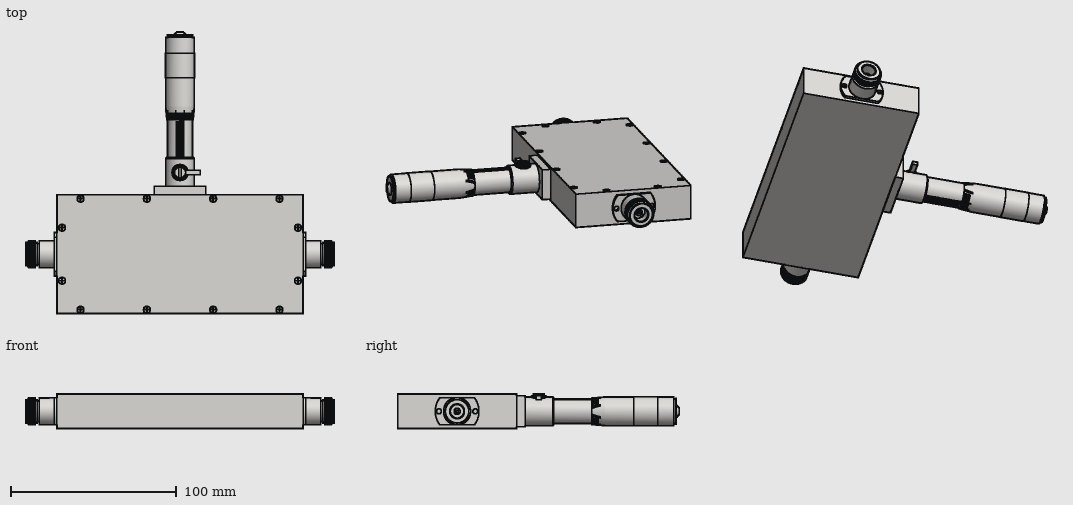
import cadquery as cq
import math


BOX_LENGTH = 148.6
BOX_WIDTH = 71.8
BOX_HEIGHT = 21.0
HALF_LENGTH = BOX_LENGTH / 2
HALF_HEIGHT = BOX_HEIGHT / 2
MID_Y = BOX_WIDTH / 2

SCREW_RADIUS = 2.0
SCREW_SINK = 0.1
CROSS_LENGTH = 3.2
CROSS_WIDTH = 0.28
CROSS_DEPTH = 0.4
LONG_EDGE_INSET = 2.5
LONG_EDGE_PITCH = 40.0
LONG_EDGE_COUNT = 4
SHORT_EDGE_INSET = 3.2
SHORT_EDGE_PITCH = 32.0

CONNECTOR_END = 93.0
FLANGE_RADIUS = 13.2
FLANGE_THICKNESS = 1.7
FLANGE_HOLE_RADIUS = 1.5
FLANGE_HOLE_OFFSET = 11.0
BARREL_RADIUS = 8.2
BARREL_END = 85.0
NOSE_RADIUS = 7.0
NECK_RADIUS = 6.3
NECK_END = 86.1
THREAD_START = 87.5
THREAD_PITCH = 1.0
THREAD_COUNT = 4
THREAD_DEPTH = 0.5
THREAD_CHAMFER = 0.7
SOCKET_MOUTH_RADIUS = 4.5
SOCKET_BORE_RADIUS = 4.0
SOCKET_DEPTH = 7.5
SOCKET_CHAMFER = SOCKET_MOUTH_RADIUS - SOCKET_BORE_RADIUS
PIN_RADIUS = 1.9
PIN_HOLE_RADIUS = 0.7
PIN_RECESS = 5.0

PLATE_LENGTH = 31.2
PLATE_HEIGHT = 18.8
PLATE_END = 77.0
SLEEVE_RADIUS = 8.7
SLEEVE_END = 94.3
SLEEVE_CHAMFER = 0.7
STEM_RADIUS = 7.6
TAPER_START = 117.0
TAPER_RADIUS = 8.0
THIMBLE_START = 125.0
THIMBLE_RADIUS = 8.7
GRIP_START = 142.5
GRIP_END = 157.0
GRIP_RISE = 0.1
THIMBLE_END = 166.7
CAP_NECK_RADIUS = 7.3
CAP_RADIUS = 7.8
CAP_RIM = 0.4
CAP_END = 168.1
DOME_RADIUS = 3.9
DOME_TIP_RADIUS = 1.9
TIP_END = 170.0

MARK_WIDTH = 0.2
MARK_DEPTH = 0.2
SCALE_PITCH = 1.0
SCALE_TICK_LENGTH = 2.2
DIAL_COUNT = 16
DIAL_LONG_EVERY = 5
DIAL_SHORT_LENGTH = 3.9
DIAL_LONG_LENGTH = 5.4

KNOB_Y = 85.2
KNOB_RADIUS = 4.8
KNOB_TOP_RADIUS = 3.3
KNOB_RIM_EDGE_RADIUS = 4.0
KNOB_BASE_Z = 6.9
KNOB_RIM_BOTTOM_Z = 8.2
KNOB_RIM_TOP_Z = 9.0
KNOB_SHOULDER_Z = 9.5
KNOB_SLOT_LENGTH = 6.3
KNOB_SLOT_WIDTH = 1.5
KNOB_SLOT_DEPTH = 1.0
LEVER_REACH = 12.3
LEVER_WIDTH = 3.0
LEVER_BOTTOM_Z = 7.0
LEVER_TOP_Z = 9.5


def block(x_range, y_range, z_range):
    """A box given by its lowest and highest X, Y and Z."""
    lengths = [high - low for low, high in (x_range, y_range, z_range)]
    corner = (x_range[0], y_range[0], z_range[0])
    return cq.Workplane("XY").box(*lengths, centered=False).translate(corner)


def screw_positions():
    """Screw centres along the two long edges and the two short edges of the lid."""
    points = []
    for y in (LONG_EDGE_INSET, BOX_WIDTH - LONG_EDGE_INSET):
        for i in range(LONG_EDGE_COUNT):
            points.append(((i - (LONG_EDGE_COUNT - 1) / 2) * LONG_EDGE_PITCH, y))
    for side in (-1, 1):
        for offset in (-SHORT_EDGE_PITCH / 2, SHORT_EDGE_PITCH / 2):
            points.append((side * (HALF_LENGTH - SHORT_EDGE_INSET), MID_Y + offset))
    return points


def make_box():
    """The plain box with the sunk, cross-slotted screw heads in its lid."""
    points = screw_positions()
    box = block((-HALF_LENGTH, HALF_LENGTH), (0, BOX_WIDTH), (-HALF_HEIGHT, HALF_HEIGHT))
    lid = cq.Workplane("XY").workplane(offset=HALF_HEIGHT)
    box = box.cut(lid.pushPoints(points).circle(SCREW_RADIUS).extrude(-SCREW_SINK))
    depth = SCREW_SINK + CROSS_DEPTH
    for arm in ((CROSS_LENGTH, CROSS_WIDTH), (CROSS_WIDTH, CROSS_LENGTH)):
        box = box.cut(lid.pushPoints(points).rect(*arm).extrude(-depth))
    return box


def make_flange():
    """Round connector flange with two flats, level with the barrel, and two holes."""
    face = cq.Workplane("YZ").workplane(offset=HALF_LENGTH)
    flange = face.circle(FLANGE_RADIUS).extrude(FLANGE_THICKNESS)
    flats = face.rect(2 * FLANGE_RADIUS, 2 * BARREL_RADIUS).extrude(FLANGE_THICKNESS)
    holes = face.pushPoints([(-FLANGE_HOLE_OFFSET, 0), (FLANGE_HOLE_OFFSET, 0)])
    return flange.intersect(flats).cut(holes.circle(FLANGE_HOLE_RADIUS).extrude(FLANGE_THICKNESS))


def make_connector_barrel():
    """Turned connector with neck, thread rings, socket and hollow centre pin, around X."""
    thread_end = THREAD_START + THREAD_COUNT * THREAD_PITCH
    profile = [
        (HALF_LENGTH, 0),
        (HALF_LENGTH, BARREL_RADIUS),
        (BARREL_END, BARREL_RADIUS),
        (BARREL_END, NECK_RADIUS),
        (NECK_END, NECK_RADIUS),
        (NECK_END, NOSE_RADIUS),
        (THREAD_START, NOSE_RADIUS),
        (THREAD_START, BARREL_RADIUS),
    ]
    for i in range(1, THREAD_COUNT):
        groove_x = THREAD_START + i * THREAD_PITCH
        profile += [
            (groove_x - THREAD_DEPTH / 2, BARREL_RADIUS),
            (groove_x, BARREL_RADIUS - THREAD_DEPTH),
            (groove_x + THREAD_DEPTH / 2, BARREL_RADIUS),
        ]
    socket_floor = CONNECTOR_END - SOCKET_DEPTH
    profile += [
        (thread_end, BARREL_RADIUS),
        (thread_end + THREAD_CHAMFER, NOSE_RADIUS),
        (CONNECTOR_END, NOSE_RADIUS),
        (CONNECTOR_END, SOCKET_MOUTH_RADIUS),
        (CONNECTOR_END - SOCKET_CHAMFER, SOCKET_BORE_RADIUS),
        (socket_floor, SOCKET_BORE_RADIUS),
        (socket_floor, PIN_RADIUS),
        (CONNECTOR_END - PIN_RECESS, PIN_RADIUS),
        (CONNECTOR_END - PIN_RECESS, PIN_HOLE_RADIUS),
        (socket_floor, PIN_HOLE_RADIUS),
        (socket_floor, 0),
    ]
    return cq.Workplane("XY").polyline(profile).close().revolve(360, (0, 0, 0), (1, 0, 0))


def make_housing():
    """Box with a connector on each short side."""
    connector = make_flange().union(make_connector_barrel()).translate((0, MID_Y, 0))
    return make_box().union(connector).union(connector.mirror("YZ"))


def make_micrometer_spindle():
    """Turned sleeve, stem, tapered thimble, grip band and domed cap around Y."""
    grip_radius = THIMBLE_RADIUS + GRIP_RISE
    dome_middle = ((DOME_RADIUS + DOME_TIP_RADIUS) / 2, (CAP_END + TIP_END) / 2)
    half_profile = (
        cq.Workplane("XY")
        .moveTo(0, PLATE_END)
        .lineTo(SLEEVE_RADIUS, PLATE_END)
        .lineTo(SLEEVE_RADIUS, SLEEVE_END - SLEEVE_CHAMFER)
        .lineTo(SLEEVE_RADIUS - SLEEVE_CHAMFER, SLEEVE_END)
        .lineTo(STEM_RADIUS, SLEEVE_END)
        .lineTo(STEM_RADIUS, TAPER_START)
        .lineTo(TAPER_RADIUS, TAPER_START)
        .lineTo(THIMBLE_RADIUS, THIMBLE_START)
        .lineTo(THIMBLE_RADIUS, GRIP_START)
        .lineTo(grip_radius, GRIP_START)
        .lineTo(grip_radius, GRIP_END)
        .lineTo(THIMBLE_RADIUS, GRIP_END)
        .lineTo(THIMBLE_RADIUS, THIMBLE_END)
        .lineTo(CAP_NECK_RADIUS, THIMBLE_END)
        .lineTo(CAP_RADIUS, CAP_END - CAP_RIM)
        .lineTo(CAP_RADIUS, CAP_END)
        .lineTo(DOME_RADIUS, CAP_END)
        .lineTo(*dome_middle)
        .lineTo(DOME_TIP_RADIUS, TIP_END)
        .lineTo(0, TIP_END)
        .close()
    )
    return half_profile.revolve(360, (0, 0, 0), (0, 1, 0))


def make_marks(points, length_x, length_y):
    """Equal rectangular marks, centred on the points, right through the micrometer in Z."""
    sketch = cq.Workplane("XY").pushPoints(points).rect(length_x, length_y)
    return sketch.extrude(THIMBLE_RADIUS, both=True)


def make_stem_scale():
    """Cutter for the datum line and two staggered tick rows, above and below the stem."""
    length = TAPER_START - SLEEVE_END
    skin = (
        cq.Workplane("XZ", origin=(0, SLEEVE_END, 0))
        .circle(STEM_RADIUS)
        .circle(STEM_RADIUS - MARK_DEPTH)
        .extrude(-length)
    )
    scale = make_marks([(0, SLEEVE_END + length / 2)], MARK_WIDTH, length)
    for side, stagger in ((-1, 0.25), (1, 0.75)):
        points = []
        for i in range(math.floor(length / SCALE_PITCH)):
            points.append((side * SCALE_TICK_LENGTH / 2, SLEEVE_END + (i + stagger) * SCALE_PITCH))
        scale = scale.union(make_marks(points, SCALE_TICK_LENGTH, MARK_WIDTH))
    return skin.intersect(scale)


def make_dial_scale():
    """Cutter for evenly spaced parallel marks on the taper, symmetric about the axis."""
    skin_profile = [
        (TAPER_RADIUS - MARK_DEPTH, TAPER_START),
        (TAPER_RADIUS, TAPER_START),
        (THIMBLE_RADIUS, THIMBLE_START),
        (THIMBLE_RADIUS - MARK_DEPTH, THIMBLE_START),
    ]
    skin = cq.Workplane("XY").polyline(skin_profile).close().revolve(360, (0, 0, 0), (0, 1, 0))
    offsets = [(i - (DIAL_COUNT - 1) / 2) * SCALE_PITCH for i in range(DIAL_COUNT)]
    long_offsets = offsets[::DIAL_LONG_EVERY]
    short_offsets = [x for x in offsets if x not in long_offsets]
    cutters = []
    for group, length in ((short_offsets, DIAL_SHORT_LENGTH), (long_offsets, DIAL_LONG_LENGTH)):
        points = [(x, TAPER_START + length / 2) for x in group]
        cutters.append(skin.intersect(make_marks(points, MARK_WIDTH, length)))
    return cutters


def make_lock():
    """Slotted lock knob with a wider bevelled rim, and the lever that points towards +X."""
    knob_profile = [
        (0, KNOB_BASE_Z),
        (KNOB_RIM_EDGE_RADIUS, KNOB_BASE_Z),
        (KNOB_RADIUS, KNOB_RIM_BOTTOM_Z),
        (KNOB_RADIUS, KNOB_RIM_TOP_Z),
        (KNOB_RIM_EDGE_RADIUS, KNOB_SHOULDER_Z),
        (KNOB_TOP_RADIUS, KNOB_SHOULDER_Z),
        (KNOB_TOP_RADIUS, HALF_HEIGHT),
        (0, HALF_HEIGHT),
    ]
    knob = cq.Workplane("XZ").polyline(knob_profile).close().revolve(360, (0, 0, 0), (0, 1, 0))
    lever_y = (-LEVER_WIDTH / 2, LEVER_WIDTH / 2)
    lever = block((0, LEVER_REACH), lever_y, (LEVER_BOTTOM_Z, LEVER_TOP_Z))
    slot = block(
        (-KNOB_SLOT_WIDTH / 2, KNOB_SLOT_WIDTH / 2),
        (-KNOB_SLOT_LENGTH / 2, KNOB_SLOT_LENGTH / 2),
        (HALF_HEIGHT - KNOB_SLOT_DEPTH, HALF_HEIGHT),
    )
    return knob.union(lever).cut(slot).translate((0, KNOB_Y, 0))


def make_micrometer():
    """Micrometer head on its mounting plate, seated against the +Y side of the box."""
    half_plate = PLATE_LENGTH / 2
    plate_z = (-PLATE_HEIGHT / 2, PLATE_HEIGHT / 2)
    micrometer = block((-half_plate, half_plate), (BOX_WIDTH, PLATE_END), plate_z)
    micrometer = micrometer.union(make_micrometer_spindle()).cut(make_stem_scale())
    for marks in make_dial_scale():
        micrometer = micrometer.cut(marks)
    return micrometer.union(make_lock())


housing = make_housing()
micrometer = make_micrometer()
result = cq.Compound.makeCompound([housing.val(), micrometer.val()])